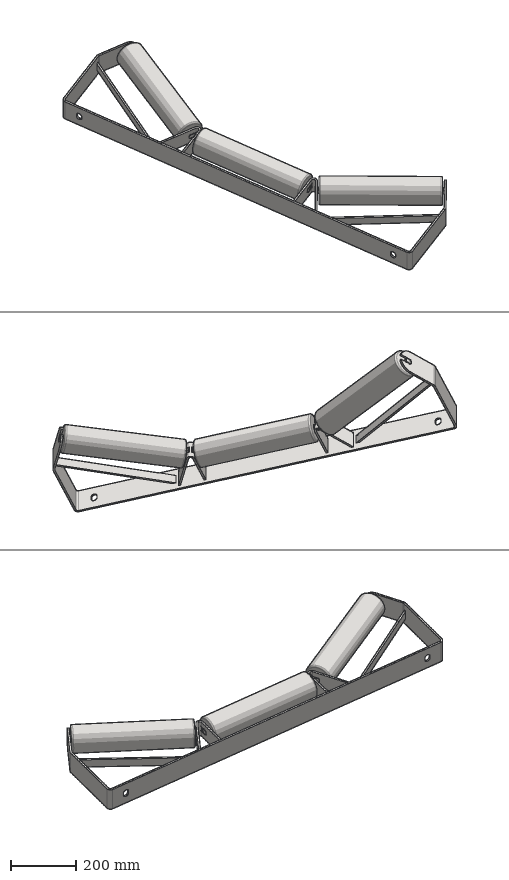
import cadquery as cq
import math

frame_length = 1240.0
strip_height = 79.0
bracket_height = 57.0
strip_thickness = 6.0
bend_inner_radius = 6.0
wing_bend_inner_radius = 9.0

trough_angle = 30.0
roller_diameter = 89.0
roller_length = 380.0
roller_edge_radius = 5.0
support_span = 389.0
center_roller_y = 100.0
side_roller_x = 393.0
side_roller_y = 207.0

shaft_diameter = 20.0
shaft_flat_width = 14.0
shaft_round_length = 385.0
slot_width = 19.0
slot_corner_radius = 6.0
slot_open_height = 50.0
wing_tip_reach = 32.0

strut_height = 30.0
strut_wall_y = 210.0
strut_base_x = 293.0

mount_hole_x = 558.0
mount_hole_width = 19.0
mount_hole_height = 26.0

half_length = frame_length / 2
half_span = support_span / 2
bend_outer_radius = bend_inner_radius + strip_thickness
wing_bend_outer_radius = wing_bend_inner_radius + strip_thickness
shaft_length = support_span + 2 * strip_thickness
slope_cos = math.cos(math.radians(trough_angle))
slope_sin = math.sin(math.radians(trough_angle))


def side_roller_point(along, above):
    """XY point of the right side roller: distance outward along its axis and square above it."""
    x = side_roller_x + along * slope_cos - above * slope_sin
    y = side_roller_y + along * slope_sin + above * slope_cos
    return (x, y)


def height_on_side_plate(along, x):
    """Y at which the plate plane at this distance along the side roller axis reaches the given X."""
    plane_x, plane_y = side_roller_point(along, 0)
    return plane_y - (x - plane_x) * slope_cos / slope_sin


def x_on_side_plate(along, y):
    """X at which the plate plane at this distance along the side roller axis reaches the given Y."""
    plane_x, plane_y = side_roller_point(along, 0)
    return plane_x - (y - plane_y) * slope_sin / slope_cos


def mirror_x(points):
    return [(-x, y) for x, y in reversed(points)]


def extrude_strip(points, height):
    """Upright strip with the given XY outline, centred on Z = 0."""
    return cq.Workplane("XY").polyline(points).close().extrude(height / 2, both=True)


def round_bend(strip, corner, radius):
    """Round the upright edge of a strip that stands at the XY corner."""
    reach = 0.6
    x, y = corner
    near = cq.selectors.BoxSelector(
        (x - reach, y - reach, -strip_height), (x + reach, y + reach, strip_height)
    )
    return strip.edges("|Z").edges(near).fillet(radius)


def place_on_side_roller(shape):
    """Move a shape from the X axis onto the axis of the right side roller."""
    turned = shape.rotate((0, 0, 0), (0, 0, 1), trough_angle)
    return turned.translate((side_roller_x, side_roller_y, 0))


def mirrored(shape):
    return shape.mirror("YZ")


def make_frame():
    inner_x = half_length - strip_thickness
    outer_plane = half_span + strip_thickness
    outer_bend = (half_length, height_on_side_plate(outer_plane, half_length))
    inner_bend = (inner_x, height_on_side_plate(half_span, inner_x))
    outer_corner = (half_length, 0)
    inner_corner = (inner_x, strip_thickness)
    outer_half = [
        outer_corner,
        outer_bend,
        side_roller_point(outer_plane, wing_tip_reach),
        side_roller_point(half_span, wing_tip_reach),
        inner_bend,
        inner_corner,
    ]
    frame = extrude_strip(outer_half + mirror_x(outer_half), strip_height)
    for corner, radius in (
        (outer_corner, bend_outer_radius),
        (outer_bend, wing_bend_outer_radius),
        (inner_bend, wing_bend_inner_radius),
        (inner_corner, bend_inner_radius),
    ):
        frame = round_bend(frame, corner, radius)
        frame = round_bend(frame, (-corner[0], corner[1]), radius)
    trim = place_on_side_roller(make_wing_tip_trim())
    frame = frame.cut(trim).cut(mirrored(trim))
    slot = place_on_side_roller(make_shaft_slot(half_span))
    frame = frame.cut(slot).cut(mirrored(slot))
    return frame.cut(make_mount_holes())


def make_wing_tip_trim():
    """Material outside the half-round tip of the wing, on a roller axis along X."""
    tip_radius = strip_height / 2
    center_y = wing_tip_reach - tip_radius
    margin = 2 * strip_thickness
    start_x = half_span - margin / 2
    depth = strip_thickness + margin
    block = cq.Workplane("XY").box(
        depth, tip_radius + margin, strip_height + margin, centered=(False, False, True)
    )
    disc = cq.Workplane("YZ").circle(tip_radius).extrude(depth)
    return block.cut(disc).translate((start_x, center_y, 0))


def make_shaft_slot(plate_x):
    """Slot, open upward, through a plate whose near face is at plate_x; the shaft rests on its bottom."""
    channel = cq.Workplane("XY").box(
        strip_thickness, slot_open_height, slot_width, centered=(False, False, True)
    )
    channel = channel.edges("|X and <Y").fillet(slot_corner_radius)
    return channel.translate((plate_x, -shaft_diameter / 2, 0))


def make_mount_holes():
    """Upright oblong holes through the base strip, one near each end."""
    return (
        cq.Workplane("XZ")
        .pushPoints([(-mount_hole_x, 0), (mount_hole_x, 0)])
        .slot2D(mount_hole_height, mount_hole_width, 90)
        .extrude(-strip_thickness)
    )


def make_bracket():
    """Folded strip on the right: upright leg for the middle roller, sloped leg for the side roller."""
    near_x = half_span
    far_x = half_span + strip_thickness
    near_plane = -half_span
    far_plane = -half_span - strip_thickness
    outer_fold = (near_x, height_on_side_plate(near_plane, near_x))
    inner_fold = (far_x, height_on_side_plate(far_plane, far_x))
    outline = [
        (near_x, strip_thickness),
        outer_fold,
        (x_on_side_plate(near_plane, strip_thickness), strip_thickness),
        (x_on_side_plate(far_plane, strip_thickness), strip_thickness),
        inner_fold,
        (far_x, strip_thickness),
    ]
    bracket = extrude_strip(outline, bracket_height)
    bracket = round_bend(bracket, outer_fold, bend_outer_radius)
    bracket = round_bend(bracket, inner_fold, bend_inner_radius)
    middle_slot = make_shaft_slot(half_span).translate((0, center_roller_y, 0))
    side_slot = place_on_side_roller(make_shaft_slot(-half_span - strip_thickness))
    return bracket.cut(middle_slot).cut(side_slot)


def make_strut():
    """Flat brace on the right, from the end wall down to the base strip."""
    wall_x = half_length - strip_thickness
    base_y = strip_thickness
    angle = math.atan2(strut_wall_y - base_y, wall_x - strut_base_x)
    drop = strip_thickness / math.cos(angle)
    shift = strip_thickness / math.sin(angle)
    outline = [
        (strut_base_x, base_y),
        (strut_base_x + shift, base_y),
        (wall_x, strut_wall_y - drop),
        (wall_x, strut_wall_y),
    ]
    return extrude_strip(outline, strut_height)


def make_bar(diameter, length):
    """Round bar along X, centred on the origin."""
    start = cq.Workplane("YZ", origin=(-length / 2, 0, 0))
    return start.circle(diameter / 2).extrude(length)


def make_roller():
    """Roller with its shaft on the X axis, centred on the origin."""
    drum = make_bar(roller_diameter, roller_length)
    drum = drum.faces("<X or >X").edges().fillet(roller_edge_radius)
    shaft = make_bar(shaft_diameter, shaft_length)
    flats = cq.Workplane("XY").box(shaft_length, shaft_diameter, shaft_flat_width)
    middle = cq.Workplane("XY").box(shaft_round_length, shaft_diameter, shaft_diameter)
    return drum.union(shaft.intersect(flats.union(middle)))


frame = make_frame()
bracket = make_bracket()
strut = make_strut()
center_roller = make_roller().translate((0, center_roller_y, 0))
side_roller = place_on_side_roller(make_roller())

solids = [frame.val(), center_roller.val()]
for body in (bracket, strut, side_roller):
    solids += [body.val(), mirrored(body).val()]

result = cq.Compound.makeCompound(solids)